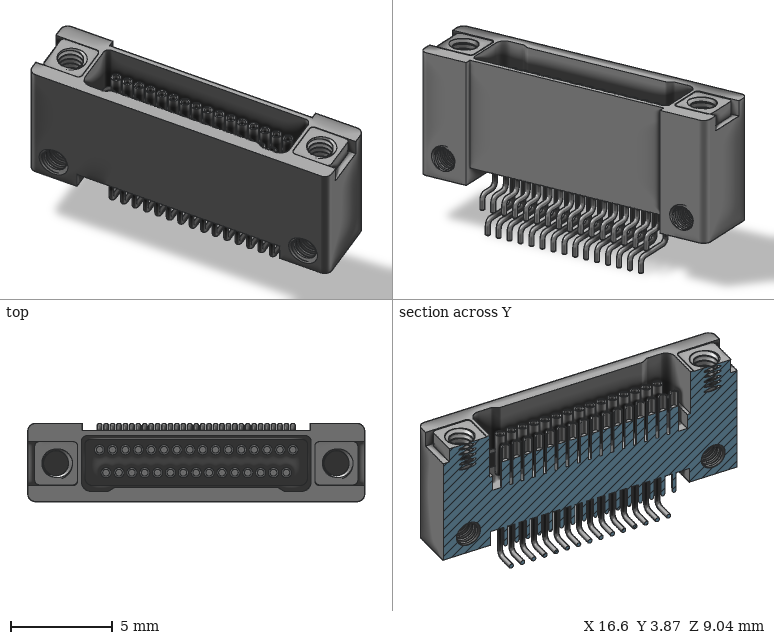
import cadquery as cq
import math

LENGTH = 16.61
DEPTH = 3.87
HEIGHT = 6.6
CORNER_RADIUS = 0.4
FRONT = -DEPTH / 2
BACK = DEPTH / 2

CLEARANCE_LENGTH = 11.23
FOOT_HEIGHT = 0.81
BACK_RECESS = 0.35

MOUTH_HALF_LENGTH = 5.66
MOUTH_BACK = 1.33
MOUTH_FRONT = -1.23
LOBE_FRONT = -1.43
LOBE_INNER_X = 4.35
LOBE_RAMP_X = 4.04
MOUTH_BACK_RADIUS = 0.3
LOBE_OUTER_RADIUS = 0.5
LOBE_RAMP_RADIUS = 0.25
MOUTH_DEPTH = 2.49
FLOOR_LENGTH = 10.96
FLOOR_WIDTH = 2.26
FLOOR_BACK_RADIUS = 0.23
FLOOR_FRONT_RADIUS = 0.37
FLOOR_DEPTH = 3.32
FLOOR_Z = HEIGHT - FLOOR_DEPTH

BACK_ROW_COUNT = 16
FRONT_ROW_COUNT = 15
BACK_ROW_LENGTH = 9.52
PITCH = BACK_ROW_LENGTH / (BACK_ROW_COUNT - 1)
BACK_ROW_Y = 0.63
FRONT_ROW_Y = -0.5
SOCKET_RADIUS = 0.25
SOCKET_BORE_RADIUS = 0.17
SOCKET_BORE_DEPTH = 0.83
SOCKET_TOP = HEIGHT - 0.98
TAIL_RADIUS = 0.125
TAIL_TIP_CHAMFER = 0.05
TAIL_BEND_RADIUS = 0.32
TAIL_ROOT_Z = FOOT_HEIGHT + 0.33
TAIL_END_Y = BACK - TAIL_RADIUS
BACK_ROW_RUN_Z = -0.33
BACK_ROW_TIP_Z = -1.16
FRONT_ROW_RUN_Z = -1.63
FRONT_ROW_TIP_Z = -2.44

FASTENER_X = 6.91
NUT_Y = -0.03
NUT_BACK = 1.03
NUT_WIDTH = 2.13
NUT_SLOT_WIDTH = 2.16
NUT_INNER_X = 5.85
NUT_OUTER_X = 7.95
NUT_RADIUS = 0.22
NUT_SETBACK = 0.03
NUT_SLOT_DEPTH = 0.81
NUT_BORE_DEPTH = 2.0
NUT_COUNTERSINK = 0.08
MOUNT_HOLE_Z = 1.08
MOUNT_COUNTERSINK = 0.18

BORE_RADIUS = 0.61
NUT_THREAD_RADIUS = 0.81
MOUNT_THREAD_RADIUS = 0.73
THREAD_PITCH = 0.3
THREAD_ROOT_FLAT = 0.02
THREAD_OVERLAP = 0.02
FLANK_ANGLE = 30


def upright_block(x_min, x_max, y_min, y_max, z_min, z_max):
    """Box between the given limits."""
    return (
        cq.Workplane("XY", origin=((x_min + x_max) / 2, (y_min + y_max) / 2, z_min))
        .rect(x_max - x_min, y_max - y_min)
        .extrude(z_max - z_min)
    )


def make_housing():
    """Rounded block, cleared underneath and along the back between its feet."""
    housing = cq.Workplane("XY").rect(LENGTH, DEPTH).extrude(HEIGHT).edges("|Z").fillet(CORNER_RADIUS)
    half = CLEARANCE_LENGTH / 2
    underside = upright_block(-half, half, FRONT, BACK, 0, FOOT_HEIGHT)
    back_recess = upright_block(-half, half, BACK - BACK_RECESS, BACK, 0, HEIGHT)
    return housing.cut(underside).cut(back_recess)


def make_cavity():
    """Wide mouth with two front lobes, stepping in to the smaller floor pocket."""
    mouth = (
        cq.Workplane("XY", origin=(0, 0, HEIGHT - MOUTH_DEPTH))
        .polyline([
            (-MOUTH_HALF_LENGTH, MOUTH_BACK),
            (-MOUTH_HALF_LENGTH, LOBE_FRONT),
            (-LOBE_INNER_X, LOBE_FRONT),
            (-LOBE_RAMP_X, MOUTH_FRONT),
            (LOBE_RAMP_X, MOUTH_FRONT),
            (LOBE_INNER_X, LOBE_FRONT),
            (MOUTH_HALF_LENGTH, LOBE_FRONT),
            (MOUTH_HALF_LENGTH, MOUTH_BACK),
        ])
        .close()
        .extrude(MOUTH_DEPTH)
    )
    ramp_limit = (LOBE_INNER_X + MOUTH_HALF_LENGTH) / 2
    ramp_edges = cq.selectors.BoxSelector((-ramp_limit, FRONT, 0), (ramp_limit, BACK, HEIGHT))
    return (
        mouth.edges("|Z and >Y")
        .fillet(MOUTH_BACK_RADIUS)
        .edges("(<X or >X) and |Z and (not >Y)")
        .edges("<Y")
        .fillet(LOBE_OUTER_RADIUS)
        .edges("|Z")
        .edges(ramp_edges)
        .fillet(LOBE_RAMP_RADIUS)
    )


def make_floor_pocket():
    """Smaller pocket below the mouth."""
    return (
        cq.Workplane("XY", origin=(0, 0, FLOOR_Z))
        .rect(FLOOR_LENGTH, FLOOR_WIDTH)
        .extrude(FLOOR_DEPTH)
        .edges("|Z and >Y")
        .fillet(FLOOR_BACK_RADIUS)
        .edges("|Z and <Y")
        .fillet(FLOOR_FRONT_RADIUS)
    )


def row_positions(count, y):
    """Contact centres of one row, centred on X = 0."""
    return [((i - (count - 1) / 2) * PITCH, y) for i in range(count)]


def make_tail(row_y, run_z, tip_z):
    """Round wire going down from the housing, back along Y and down again to its tip."""
    bend = TAIL_BEND_RADIUS
    mid_bend = bend * math.sin(math.radians(45))
    path = (
        cq.Workplane("YZ")
        .moveTo(row_y, TAIL_ROOT_Z)
        .lineTo(row_y, run_z + bend)
        .threePointArc(
            (row_y + bend - mid_bend, run_z + bend - mid_bend),
            (row_y + bend, run_z),
        )
        .lineTo(TAIL_END_Y - bend, run_z)
        .threePointArc(
            (TAIL_END_Y - bend + mid_bend, run_z - bend + mid_bend),
            (TAIL_END_Y, run_z - bend),
        )
        .lineTo(TAIL_END_Y, tip_z)
    )
    wire = cq.Workplane("XY", origin=(0, row_y, TAIL_ROOT_Z)).circle(TAIL_RADIUS).sweep(path)
    return wire.faces("<Z").edges().chamfer(TAIL_TIP_CHAMFER)


def add_contact_row(body, count, row_y, run_z, tip_z):
    """Add the socket tubes and tails of one row."""
    places = row_positions(count, row_y)
    sockets = (
        cq.Workplane("XY", origin=(0, 0, FLOOR_Z))
        .pushPoints(places)
        .circle(SOCKET_RADIUS)
        .extrude(SOCKET_TOP - FLOOR_Z)
    )
    bores = (
        cq.Workplane("XY", origin=(0, 0, SOCKET_TOP - SOCKET_BORE_DEPTH))
        .pushPoints(places)
        .circle(SOCKET_BORE_RADIUS)
        .extrude(SOCKET_BORE_DEPTH)
    )
    tail = make_tail(row_y, run_z, tip_z).val()
    tails = [tail.translate(cq.Vector(x, 0, 0)) for x, _ in places]
    return cq.Workplane(body.val().fuse(*sockets.cut(bores).solids().vals(), *tails))


def make_thread_groove(thread_radius, turns_below):
    """Right-handed V groove around Z, from inside the part out through the hole mouth at Z = 0."""
    inner_radius = BORE_RADIUS - THREAD_OVERLAP
    root_half = THREAD_ROOT_FLAT / 2
    mouth_half = root_half + (thread_radius - inner_radius) * math.tan(math.radians(FLANK_ANGLE))
    start_turn = turns_below + 0.25
    helix = cq.Wire.makeHelix(THREAD_PITCH, (start_turn + 1) * THREAD_PITCH, BORE_RADIUS)
    groove = (
        cq.Workplane("XZ")
        .polyline([
            (inner_radius, -mouth_half),
            (thread_radius, -root_half),
            (thread_radius, root_half),
            (inner_radius, mouth_half),
        ])
        .close()
        .sweep(cq.Workplane("XY").newObject([helix]), isFrenet=True)
    )
    return groove.rotate((0, 0, 0), (0, 0, 1), -90).translate((0, 0, -start_turn * THREAD_PITCH))


def make_bore(depth):
    """Plain bore going down from its mouth at Z = 0."""
    return cq.Workplane("XY").circle(BORE_RADIUS).extrude(-depth)


def make_countersink(depth):
    """45 degree cone narrowing down from Z = 0 to the bore."""
    return (
        cq.Workplane("XY")
        .circle(BORE_RADIUS + depth)
        .workplane(offset=-depth)
        .circle(BORE_RADIUS)
        .loft(ruled=True)
    )


def add_nut(body, side):
    """Cut the slot around one nut, open at the housing end, and its blind threaded bore."""
    nut_top = HEIGHT - NUT_SETBACK
    slot_floor = HEIGHT - NUT_SLOT_DEPTH

    def rounded_block(x_outer, width):
        x_min, x_max = sorted((side * NUT_INNER_X, side * x_outer))
        block = upright_block(x_min, x_max, NUT_BACK - width, NUT_BACK, slot_floor, HEIGHT)
        return block.edges("|Z").fillet(NUT_RADIUS)

    slot = rounded_block(LENGTH / 2 + 2 * NUT_RADIUS, NUT_SLOT_WIDTH)
    nut = rounded_block(NUT_OUTER_X, NUT_WIDTH)
    above_nut = upright_block(-LENGTH, LENGTH, FRONT, BACK, nut_top, HEIGHT)
    body = body.cut(slot.cut(nut.cut(above_nut)))

    mouth = (side * FASTENER_X, NUT_Y, nut_top)
    groove = make_thread_groove(NUT_THREAD_RADIUS, math.floor(NUT_BORE_DEPTH / THREAD_PITCH) - 1)
    for tool in (make_countersink(NUT_COUNTERSINK), groove, make_bore(NUT_BORE_DEPTH)):
        body = body.cut(tool.translate(mouth))
    return body


def cut_mount_hole(body, side):
    """Cut one threaded hole through a foot along Y, countersunk at the front."""
    def place(tool):
        mouth = (side * FASTENER_X, FRONT, MOUNT_HOLE_Z)
        return tool.rotate((0, 0, 0), (1, 0, 0), 90).translate(mouth)

    groove = make_thread_groove(MOUNT_THREAD_RADIUS, math.ceil(DEPTH / THREAD_PITCH) + 1)
    for tool in (make_countersink(MOUNT_COUNTERSINK), groove, make_bore(DEPTH)):
        body = body.cut(place(tool))
    return body


body = make_housing().cut(make_cavity()).cut(make_floor_pocket())
body = add_contact_row(body, BACK_ROW_COUNT, BACK_ROW_Y, BACK_ROW_RUN_Z, BACK_ROW_TIP_Z)
body = add_contact_row(body, FRONT_ROW_COUNT, FRONT_ROW_Y, FRONT_ROW_RUN_Z, FRONT_ROW_TIP_Z)
for side in (-1, 1):
    body = add_nut(body, side)
    body = cut_mount_hole(body, side)

result = body